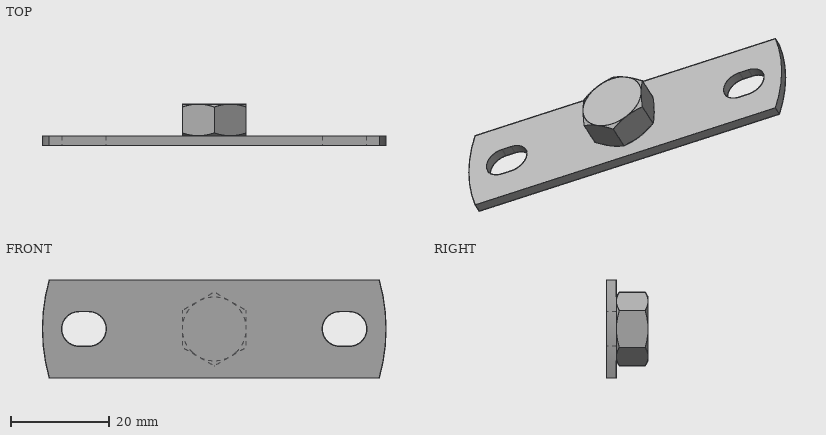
import cadquery as cq
import math

plate_length = 70.0
plate_height = 20.0
plate_thickness = 2.0
end_bulge = 1.4

slot_length = 9.0
slot_height = 7.0
slot_offset = 26.5

nut_width = 13.0
nut_height = 6.45
nut_corner_diameter = nut_width / math.cos(math.pi / 6)
chamfer_diameter = nut_width
chamfer_angle = 30.0


def make_plate():
    """Flat plate with arched ends and two slots, front face at Y = 0."""
    end_x = plate_length / 2
    corner_x = end_x - end_bulge
    top_z = plate_height / 2
    blank = (
        cq.Workplane("XZ")
        .moveTo(-corner_x, top_z)
        .lineTo(corner_x, top_z)
        .threePointArc((end_x, 0), (corner_x, -top_z))
        .lineTo(-corner_x, -top_z)
        .threePointArc((-end_x, 0), (-corner_x, top_z))
        .close()
        .extrude(-plate_thickness)
    )
    slots = (
        cq.Workplane("XZ")
        .pushPoints([(-slot_offset, 0), (slot_offset, 0)])
        .slot2D(slot_length, slot_height)
        .extrude(-plate_thickness)
    )
    return blank.cut(slots)


def make_nut():
    """Solid hexagonal nut, corners up and down, with conical chamfers at both ends."""
    near_y = plate_thickness
    far_y = near_y + nut_height
    hexagon = (
        cq.Workplane("XZ", origin=(0, near_y, 0))
        .transformed(rotate=(0, 0, 90))
        .polygon(6, nut_corner_diameter)
        .extrude(-nut_height)
    )
    corner_radius = nut_corner_diameter / 2
    face_radius = chamfer_diameter / 2
    chamfer_depth = (corner_radius - face_radius) * math.tan(math.radians(chamfer_angle))
    envelope = (
        cq.Workplane("XY")
        .moveTo(0, near_y)
        .lineTo(face_radius, near_y)
        .lineTo(corner_radius, near_y + chamfer_depth)
        .lineTo(corner_radius, far_y - chamfer_depth)
        .lineTo(face_radius, far_y)
        .lineTo(0, far_y)
        .close()
        .revolve(360, (0, 0, 0), (0, 1, 0))
    )
    return hexagon.intersect(envelope)


plate = make_plate()
nut = make_nut()
result = cq.Compound.makeCompound([plate.val(), nut.val()])